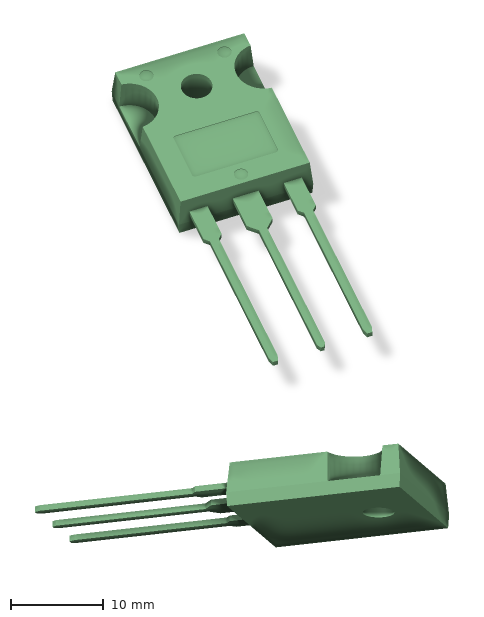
import cadquery as cq

total_length = 42.7
body_length = 20.0
body_width = 15.6
body_height = 5.0
parting_height = 1.55
top_inset = 0.3
bottom_inset = 0.1

mounting_x = 5.3
mounting_hole_diameter = 3.4
notch_floor_diameter = 6.0
notch_top_diameter = 6.35
notch_center_y = body_width / 2

recess_depth = 0.1
mark_diameter = 1.55
mark_centers = [(1.95, -4.53), (1.95, 4.53), (18.5, 0)]
window_length = 6.1
window_width = 9.95
window_center_x = 13.95
window_corner_radius = 0.35

lead_pitch = 5.45
lead_bottom = 2.45
lead_thickness = 0.65
lead_embed = 0.85
shoulder_end_x = 24.0
outer_shoulder_width = 2.1
outer_pin_width = 1.02
outer_tip_width = 0.6
outer_tip_length = 0.7
center_shoulder_width = 3
center_pin_width = 0.95
center_tip_width = 0.43
center_tip_length = 0.5


def body_outline(height, inset):
    """Rectangle of the body at a given height, shrunk by inset on every side."""
    return (
        cq.Workplane("XY", origin=(body_length / 2, 0, height))
        .rect(body_length - 2 * inset, body_width - 2 * inset)
        .val()
    )


def body_half(end_height, end_inset):
    """Tapered block from the parting plane to one end face."""
    sections = [body_outline(parting_height, 0), body_outline(end_height, end_inset)]
    return cq.Workplane(cq.Solid.makeLoft(sections, True))


def screw_notch(y):
    """Cone that widens from the parting plane to the top face."""
    return cq.Workplane(
        cq.Solid.makeCone(
            notch_floor_diameter / 2,
            notch_top_diameter / 2,
            body_height - parting_height,
            cq.Vector(mounting_x, y, parting_height),
        )
    )


def lead(y, shoulder_width, pin_width, tip_width, tip_length):
    """Flat lead with a wide shoulder, a 45 degree step and a narrowed tip."""
    start_x = body_length - lead_embed
    pin_start_x = shoulder_end_x + (shoulder_width - pin_width) / 2
    half_outline = [
        (start_x, shoulder_width / 2),
        (shoulder_end_x, shoulder_width / 2),
        (pin_start_x, pin_width / 2),
        (total_length - tip_length, pin_width / 2),
        (total_length, tip_width / 2),
    ]
    mirrored = [(x, -half_width) for x, half_width in reversed(half_outline)]
    return (
        cq.Workplane("XY", origin=(0, y, lead_bottom))
        .polyline(half_outline + mirrored)
        .close()
        .extrude(lead_thickness)
    )


body = body_half(0, bottom_inset).union(body_half(body_height, top_inset))

hole = cq.Workplane("XY").center(mounting_x, 0).circle(mounting_hole_diameter / 2).extrude(body_height)
body = body.cut(hole)
for side in (-1, 1):
    body = body.cut(screw_notch(side * notch_center_y))

recess_plane = cq.Workplane("XY", origin=(0, 0, body_height - recess_depth))
marks = recess_plane.pushPoints(mark_centers).circle(mark_diameter / 2).extrude(recess_depth)
window = (
    recess_plane.center(window_center_x, 0)
    .rect(window_length, window_width)
    .extrude(recess_depth)
    .edges("|Z")
    .fillet(window_corner_radius)
)
body = body.cut(marks).cut(window)

result = body.union(lead(0, center_shoulder_width, center_pin_width, center_tip_width, center_tip_length))
for side in (-1, 1):
    outer_lead = lead(
        side * lead_pitch, outer_shoulder_width, outer_pin_width, outer_tip_width, outer_tip_length
    )
    result = result.union(outer_lead)